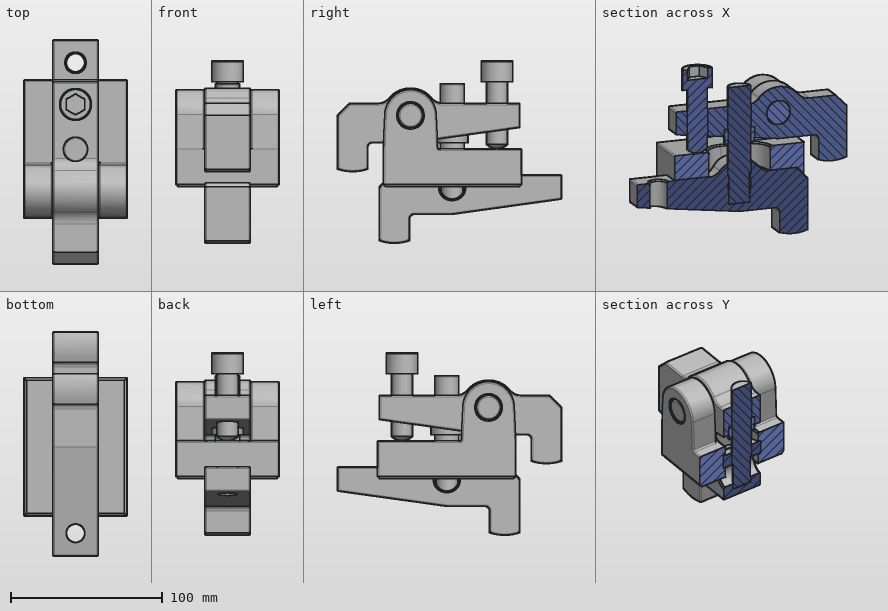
import cadquery as cq
import math


EDGE = 1.0

ARM_WIDTH = 30.0
ARM_REAR = 72.0
ARM_TOP = 8.0
ARM_BELLY = 18.0
ARM_FRONT = 48.1
ARM_NOSE = 8.0
JAW_THICKNESS = 20.0
JAW_DEPTH = 37.0
JAW_RADIUS = 30.0
JAW_FILLET = 3.0
HUB_RADIUS = 18.0
HUB_FILLET = 10.0
SCREW_Y = 57.0
THREAD_CORE_DIAMETER = 12.0

PIN_DIAMETER = 16.0
HINGE_SLOT = 30.4

BASE_WIDTH = 68.0
BASE_REAR = 73.2
BASE_FRONT = 18.0
BASE_TOP = -22.0
BASE_BOTTOM = -47.0
BASE_BOTTOM_CHAMFER = 1.9
EAR_RADIUS = 17.0
EAR_ROOT_FILLET = 1.0
EAR_EMBED = 3.0
STUD_SLOT_WIDTH = 26.0
STUD_SLOT_TRAVEL = 16.8

LOWER_ARM_Y = 27.5
LOWER_ARM_Z = BASE_BOTTOM

SCREW_DIAMETER = 14.0
SCREW_TIP_RADIUS = 9.6
SCREW_HEAD_DIAMETER = 21.0
SCREW_HEAD_BOTTOM = 22.0
SCREW_HEAD_HEIGHT = 14.0
SCREW_HEAD_CHAMFER = 0.6
SOCKET_FLATS = 12.0
SOCKET_DEPTH = 7.1

STUD_DIAMETER = 16.0
STUD_TOP = 21.0
STUD_TOP_FILLET = 0.7
STUD_STEP = LOWER_ARM_Z + ARM_TOP
STUD_LOWER_DIAMETER = 14.5
STUD_SEAT_DEPTH = 12.0
STUD_BOTTOM = LOWER_ARM_Z - STUD_SEAT_DEPTH
COLLAR_DIAMETER = 21.0
COLLAR_BOTTOM = -18.0
COLLAR_HEIGHT = 10.0


def extrude_across(sketch, width):
    """Turn a closed YZ outline into a solid centred on X = 0."""
    return sketch.extrude(width / 2, both=True)


def vertical_cylinder(diameter, y, bottom, top):
    """Upright cylinder in the middle plane X = 0."""
    return cq.Workplane("XY", origin=(0, y, bottom)).circle(diameter / 2).extrude(top - bottom)


def cross_cylinder(diameter, length):
    """Cylinder along the hinge axis."""
    return extrude_across(cq.Workplane("YZ").circle(diameter / 2), length)


def hinge_hole(width):
    """Cutter for a hinge hole through the given width, countersunk at both ends."""
    hole = cross_cylinder(PIN_DIAMETER, width)
    for side in (1, -1):
        countersink = (
            cq.Workplane("YZ", origin=(side * width / 2, 0, 0))
            .circle(PIN_DIAMETER / 2 + EDGE)
            .workplane(offset=-side * EDGE)
            .circle(PIN_DIAMETER / 2)
            .loft()
        )
        hole = hole.union(countersink)
    return hole


def make_arm():
    """Hooked arm with a hub around its hinge hole and a threaded hole near its rear end."""
    blend_y = math.sqrt((HUB_RADIUS + HUB_FILLET) ** 2 - (ARM_TOP + HUB_FILLET) ** 2)
    blend_z = ARM_TOP + HUB_FILLET
    tangent_scale = HUB_RADIUS / (HUB_RADIUS + HUB_FILLET)
    hub_y = blend_y * tangent_scale
    hub_z = blend_z * tangent_scale
    half_turn = math.atan2(blend_y, blend_z) / 2
    mid_y = blend_y - HUB_FILLET * math.sin(half_turn)
    mid_z = blend_z - HUB_FILLET * math.cos(half_turn)

    jaw_rise = JAW_RADIUS - math.sqrt(JAW_RADIUS ** 2 - (JAW_THICKNESS / 2) ** 2)
    jaw_corner_z = -JAW_DEPTH + jaw_rise
    jaw_back = -ARM_FRONT + JAW_THICKNESS
    rear_bottom = -ARM_TOP

    outline = (
        cq.Workplane("YZ")
        .moveTo(ARM_REAR, ARM_TOP)
        .lineTo(blend_y, ARM_TOP)
        .threePointArc((mid_y, mid_z), (hub_y, hub_z))
        .threePointArc((0, HUB_RADIUS), (-hub_y, hub_z))
        .threePointArc((-mid_y, mid_z), (-blend_y, ARM_TOP))
        .lineTo(-ARM_FRONT + ARM_NOSE, ARM_TOP)
        .lineTo(-ARM_FRONT, ARM_TOP - ARM_NOSE)
        .lineTo(-ARM_FRONT, jaw_corner_z)
        .threePointArc((-ARM_FRONT + JAW_THICKNESS / 2, -JAW_DEPTH), (jaw_back, jaw_corner_z))
        .lineTo(jaw_back, -ARM_BELLY - JAW_FILLET)
        .radiusArc((jaw_back + JAW_FILLET, -ARM_BELLY), JAW_FILLET)
        .lineTo(0, -ARM_BELLY)
        .lineTo(ARM_REAR, rear_bottom)
        .close()
    )
    arm = extrude_across(outline, ARM_WIDTH)
    arm = arm.faces(">X or <X or >Y").edges().fillet(EDGE)

    thread = vertical_cylinder(THREAD_CORE_DIAMETER, SCREW_Y, -ARM_BELLY, ARM_TOP)
    countersink = (
        cq.Workplane("XY", origin=(0, SCREW_Y, ARM_TOP))
        .circle(THREAD_CORE_DIAMETER / 2 + EDGE)
        .workplane(offset=-EDGE)
        .circle(THREAD_CORE_DIAMETER / 2)
        .loft()
    )
    return arm.cut(hinge_hole(ARM_WIDTH)).cut(thread).cut(countersink)


def make_ear(side):
    """Hinge ear on one side, reaching a little below the block's top face."""
    foot_distance = math.hypot(BASE_FRONT, BASE_TOP)
    tangent_angle = math.atan2(BASE_TOP, BASE_FRONT) + math.acos(EAR_RADIUS / foot_distance)
    flank_y = EAR_RADIUS * math.cos(tangent_angle)
    flank_z = EAR_RADIUS * math.sin(tangent_angle)
    ear_bottom = BASE_TOP - EAR_EMBED

    outline = (
        cq.Workplane("YZ", origin=(side * HINGE_SLOT / 2, 0, 0))
        .moveTo(-BASE_FRONT, ear_bottom)
        .lineTo(-BASE_FRONT, BASE_TOP)
        .lineTo(-flank_y, flank_z)
        .threePointArc((0, EAR_RADIUS), (flank_y, flank_z))
        .lineTo(BASE_FRONT, BASE_TOP)
        .lineTo(BASE_FRONT + EAR_ROOT_FILLET, BASE_TOP)
        .lineTo(BASE_FRONT + EAR_ROOT_FILLET, ear_bottom)
        .close()
    )
    ear = outline.extrude(side * (BASE_WIDTH - HINGE_SLOT) / 2)
    root = cq.selectors.NearestToPointSelector((side * BASE_WIDTH / 2, BASE_FRONT, BASE_TOP))
    ear = ear.edges("|X").edges(root).fillet(EAR_ROOT_FILLET)
    inner_face = "<X" if side > 0 else ">X"
    return ear.faces(inner_face).edges("not <Z").fillet(EDGE)


def make_base():
    """Block with two tapered ears for the hinge and a lengthways slot for the stud."""
    block = extrude_across(
        cq.Workplane("YZ")
        .moveTo(-BASE_FRONT, BASE_BOTTOM)
        .lineTo(-BASE_FRONT, BASE_TOP)
        .lineTo(BASE_REAR, BASE_TOP)
        .lineTo(BASE_REAR, BASE_BOTTOM)
        .close(),
        BASE_WIDTH,
    )
    block = block.faces("<Z").edges().chamfer(BASE_BOTTOM_CHAMFER)
    base = block.union(make_ear(1)).union(make_ear(-1))
    base = base.faces("<X or >X or >Y").edges("not <Z").fillet(EDGE)

    stud_slot = (
        cq.Workplane("XY", origin=(0, LOWER_ARM_Y, BASE_TOP))
        .slot2D(STUD_SLOT_TRAVEL + STUD_SLOT_WIDTH, STUD_SLOT_WIDTH, 90)
        .extrude(BASE_BOTTOM - BASE_TOP)
    )
    slot_rim = (
        cq.Workplane("XY", origin=(0, LOWER_ARM_Y, BASE_TOP))
        .slot2D(STUD_SLOT_TRAVEL + STUD_SLOT_WIDTH + 2 * EDGE, STUD_SLOT_WIDTH + 2 * EDGE, 90)
        .extrude(-EDGE, taper=45)
    )
    return base.cut(stud_slot).cut(slot_rim).cut(hinge_hole(BASE_WIDTH))


def make_hinge_pin():
    """Plain pin with rounded ends, flush with the outer faces of the ears."""
    return cross_cylinder(PIN_DIAMETER, BASE_WIDTH).faces("<X or >X").edges().fillet(EDGE)


def make_screw():
    """Socket head screw whose domed tip rests on the base."""
    radius = SCREW_DIAMETER / 2
    dome_height = SCREW_TIP_RADIUS - math.sqrt(SCREW_TIP_RADIUS ** 2 - radius ** 2)
    dome = cq.Workplane("XY", origin=(0, SCREW_Y, BASE_TOP + SCREW_TIP_RADIUS)).sphere(SCREW_TIP_RADIUS)
    tip = vertical_cylinder(SCREW_DIAMETER, SCREW_Y, BASE_TOP, BASE_TOP + dome_height).intersect(dome)
    shank = vertical_cylinder(SCREW_DIAMETER, SCREW_Y, BASE_TOP + dome_height, SCREW_HEAD_BOTTOM)
    head_top = SCREW_HEAD_BOTTOM + SCREW_HEAD_HEIGHT
    head = vertical_cylinder(SCREW_HEAD_DIAMETER, SCREW_Y, SCREW_HEAD_BOTTOM, head_top)
    head = head.faces(">Z").edges().chamfer(SCREW_HEAD_CHAMFER)
    socket = (
        cq.Workplane("XY", origin=(0, SCREW_Y, head_top))
        .polygon(6, SOCKET_FLATS, circumscribed=True)
        .extrude(-SOCKET_DEPTH)
    )
    return shank.union(tip).union(head).cut(socket)


def make_stud():
    """Stepped stud from above the upper arm down into the lower arm."""
    upper = vertical_cylinder(STUD_DIAMETER, LOWER_ARM_Y, STUD_STEP, STUD_TOP)
    upper = upper.faces(">Z").edges().fillet(STUD_TOP_FILLET)
    lower = vertical_cylinder(STUD_LOWER_DIAMETER, LOWER_ARM_Y, STUD_BOTTOM, STUD_STEP)
    return upper.union(lower)


def make_collar(stud):
    """Ring around the stud, partly sunk into the underside of the upper arm."""
    collar_top = COLLAR_BOTTOM + COLLAR_HEIGHT
    return vertical_cylinder(COLLAR_DIAMETER, LOWER_ARM_Y, COLLAR_BOTTOM, collar_top).cut(stud)


hinge_pin = make_hinge_pin()
screw = make_screw()
stud = make_stud()
collar = make_collar(stud)
upper_arm = make_arm().cut(screw).cut(stud).cut(collar)
lower_arm = make_arm().translate((0, LOWER_ARM_Y, LOWER_ARM_Z)).cut(stud)
base = make_base().cut(lower_arm).cut(stud)

result = cq.Compound.makeCompound(
    [
        base.val(),
        upper_arm.val(),
        lower_arm.val(),
        hinge_pin.val(),
        screw.val(),
        stud.val(),
        collar.val(),
    ]
)